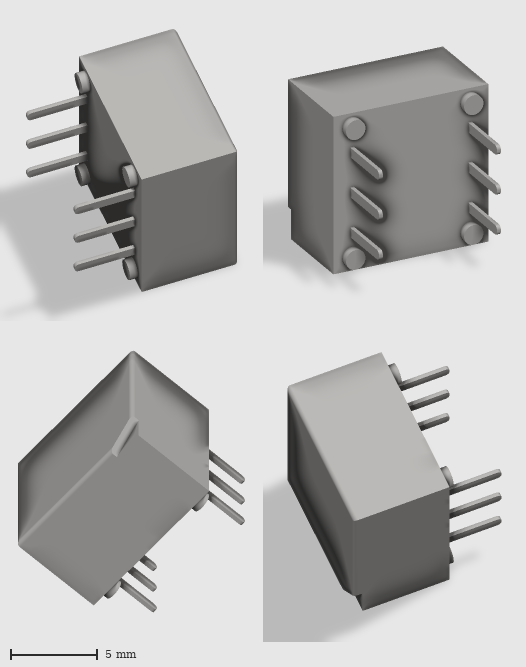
import cadquery as cq

body_side = 10.01
body_depth = 5.99
body_front = -body_depth / 2
body_back = body_depth / 2
edge_radius = 0.25

notch_width = 0.53
notch_height = 1.89
notch_depth = notch_height

standoff_diameter = 1.25
standoff_height = 0.5
standoff_pitch_z = 8.25

pin_column_pitch = 7.63
pin_row_pitch = 2.54
pin_thickness = 0.25
pin_width = 0.6
pin_length = 3.71
pin_tip_radius = 0.25
column_positions = [-pin_column_pitch / 2, pin_column_pitch / 2]
row_positions = [-pin_row_pitch, 0, pin_row_pitch]


def make_housing():
    block = cq.Workplane("XY").box(body_side, body_depth, body_side)
    return block.faces(">Y").edges().fillet(edge_radius)


def make_corner_notch():
    """Wedge that deepens from the -X face towards the bottom."""
    side = -body_side / 2
    bottom = -body_side / 2
    return (
        cq.Workplane("XZ", origin=(0, body_back, 0))
        .moveTo(side, bottom + notch_height)
        .lineTo(side + notch_depth, bottom)
        .lineTo(side, bottom)
        .close()
        .extrude(notch_width)
    )


def make_standoffs():
    return (
        cq.Workplane("XZ", origin=(0, body_front, 0))
        .rarray(pin_column_pitch, standoff_pitch_z, 2, 2)
        .circle(standoff_diameter / 2)
        .extrude(standoff_height)
    )


def make_pin(x, z):
    """Flat blade pointing to -Y, with its two tip edges rounded."""
    return (
        cq.Workplane("XY")
        .box(pin_thickness, pin_length, pin_width)
        .faces("<Y")
        .edges("|X")
        .fillet(pin_tip_radius)
        .translate((x, body_front - pin_length / 2, z))
    )


result = make_housing().cut(make_corner_notch()).union(make_standoffs())
for column_x in column_positions:
    for row_z in row_positions:
        result = result.union(make_pin(column_x, row_z))